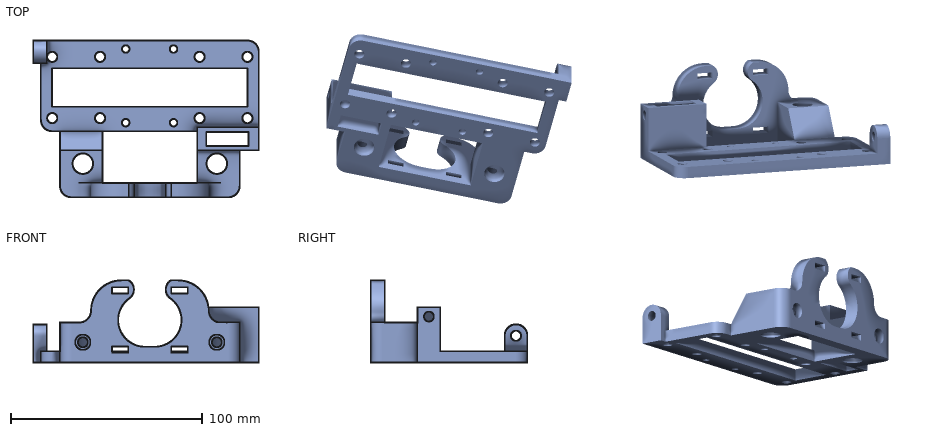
import cadquery as cq
import math


plate_length = 114.0
total_depth = 82.0
corner_radius = 6.0

plate_thickness = 6.0
plate_front = 34.5
plate_depth = total_depth - plate_front
window_margin = 6.0
window_length = plate_length - 2 * window_margin
window_depth = 20.0
window_center_y = 57.4

plate_hole_diameter = 5.2
plate_hole_columns = (6.0, 31.0, 83.0, 108.0)
plate_hole_row_spacing = 32.0
small_hole_diameter = 3.8
small_hole_spacing_x = 25.0
small_hole_spacing_y = 38.5
small_hole_center_x = 56.9

center_x = plate_length / 2
blocks_span = 94.0
block_width = 22.3
block_height = 21.0
block_top_depth = 24.5
rod_hole_diameter = 10.6
rod_hole_spacing = 70.0
rod_hole_y = 17.6

screw_z = 10.6
screw_diameter = 5.2
screw_head_diameter = 8.0
screw_head_depth = 4.0

wall_thickness = 7.5
cradle_span = 61.6
cradle_height = 43.0
cradle_root_radius = 6.0
cradle_outer_radius = cradle_height - block_height - cradle_root_radius
bore_radius = 13.9
bore_center_z = 22.2
bore_flat_width = 5.2
tip_gap = 16.5
tip_radius = 5.6

tie_slot_length = 8.4
tie_slot_height = 3.2
tie_slot_spacing = 31.0

box_left = center_x + blocks_span / 2 - block_width
box_front = block_top_depth
box_depth = 12.0
box_height = 29.0
pocket_left = 86.5
pocket_length = 22.0
pocket_width = 7.2
box_screw_diameter = 5.2
box_screw_z = 24.0

lug_overhang = 4.0
lug_width = 7.2
lug_depth = 12.0
lug_pivot_z = 14.0
lug_hole_diameter = 5.2


def box(x, y, z, length, depth, height):
    """Box whose lowest corner is (x, y, z)."""
    return cq.Workplane("XY").box(length, depth, height, centered=False).translate((x, y, z))


def vertical_holes(points, diameter, height):
    """Upright cylinders standing on the underside plane."""
    return cq.Workplane("XY").pushPoints(points).circle(diameter / 2).extrude(height)


def cylinder_along_y(x, z, diameter, depth):
    """Cylinder from the front face into the part, centered at (x, z)."""
    return cq.Workplane("XZ").center(x, z).circle(diameter / 2).extrude(-depth)


def cylinder_along_x(start_x, y, z, diameter, length):
    """Cylinder toward +X from start_x, centered at (y, z)."""
    return (
        cq.Workplane("YZ", origin=(start_x, 0, 0))
        .center(y, z)
        .circle(diameter / 2)
        .extrude(length)
    )


def base_plate():
    plate = box(0, plate_front, 0, plate_length, plate_depth, plate_thickness)
    plate = plate.edges("|Z and <X and <Y").fillet(corner_radius)
    plate = plate.edges("|Z and >X and >Y").fillet(corner_radius)
    window_y = window_center_y - window_depth / 2
    window = box(window_margin, window_y, 0, window_length, window_depth, plate_thickness)
    return plate.cut(window)


def plate_holes():
    large_points = [
        (x, window_center_y + side * plate_hole_row_spacing / 2)
        for x in plate_hole_columns
        for side in (-1, 1)
    ]
    plate_center_y = plate_front + plate_depth / 2
    small_points = [
        (
            small_hole_center_x + side_x * small_hole_spacing_x / 2,
            plate_center_y + side_y * small_hole_spacing_y / 2,
        )
        for side_x in (-1, 1)
        for side_y in (-1, 1)
    ]
    large = vertical_holes(large_points, plate_hole_diameter, plate_thickness)
    small = vertical_holes(small_points, small_hole_diameter, plate_thickness)
    return large.union(small)


def rod_blocks():
    """Two ramped blocks with rounded outer front corners."""
    left = center_x - blocks_span / 2
    side_profile = [
        (0, 0),
        (plate_front, 0),
        (plate_front, plate_thickness),
        (block_top_depth, block_height),
        (0, block_height),
    ]
    body = (
        cq.Workplane("YZ", origin=(left, 0, 0))
        .polyline(side_profile)
        .close()
        .extrude(blocks_span)
        .edges("|Z and <Y")
        .fillet(corner_radius)
    )
    gap_width = blocks_span - 2 * block_width
    opening = box(left + block_width, 0, 0, gap_width, plate_front, block_height)
    return body.cut(opening)


def cradle_half():
    """Left half of the front wall, from the underside up to the hooked tip."""
    outer_left = center_x - cradle_span / 2
    root_x = outer_left - cradle_root_radius
    root_z = block_height + cradle_root_radius
    arc_center_x = outer_left + cradle_outer_radius
    diagonal = math.sqrt(0.5)

    bore_x = center_x - bore_flat_width / 2
    tip_x = center_x - tip_gap / 2 - tip_radius
    centers_distance = bore_radius + tip_radius
    tip_z = bore_center_z + math.sqrt(centers_distance**2 - (bore_x - tip_x) ** 2)
    tip_top_x = tip_x + math.sqrt(tip_radius**2 - (cradle_height - tip_z) ** 2)
    touch_share = tip_radius / centers_distance
    touch_x = tip_x + (bore_x - tip_x) * touch_share
    touch_z = tip_z + (bore_center_z - tip_z) * touch_share

    return (
        cq.Workplane("XZ")
        .moveTo(root_x, 0)
        .lineTo(root_x, block_height)
        .threePointArc(
            (root_x + cradle_root_radius * diagonal, root_z - cradle_root_radius * diagonal),
            (outer_left, root_z),
        )
        .threePointArc(
            (
                arc_center_x - cradle_outer_radius * diagonal,
                root_z + cradle_outer_radius * diagonal,
            ),
            (arc_center_x, cradle_height),
        )
        .lineTo(tip_top_x, cradle_height)
        .threePointArc((tip_x + tip_radius, tip_z), (touch_x, touch_z))
        .threePointArc(
            (bore_x - bore_radius, bore_center_z),
            (bore_x, bore_center_z - bore_radius),
        )
        .lineTo(center_x, bore_center_z - bore_radius)
        .lineTo(center_x, 0)
        .close()
        .extrude(-wall_thickness)
    )


def front_wall():
    left = cradle_half()
    right = left.mirror("YZ", (center_x, 0, 0))
    return left.union(right)


def tie_slots():
    slots = cq.Workplane("XZ").center(center_x, bore_center_z)
    return (
        slots.rarray(tie_slot_spacing, tie_slot_spacing, 2, 2)
        .rect(tie_slot_length, tie_slot_height)
        .extrude(-wall_thickness)
    )


def rod_and_screw_holes():
    cutters = cq.Workplane("XY")
    for side in (-1, 1):
        x = center_x + side * rod_hole_spacing / 2
        rod = vertical_holes([(x, rod_hole_y)], rod_hole_diameter, block_height)
        screw = cylinder_along_y(x, screw_z, screw_diameter, rod_hole_y)
        head = cylinder_along_y(x, screw_z, screw_head_diameter, screw_head_depth)
        cutters = cutters.union(rod).union(screw).union(head)
    return cutters


def pocketed_box():
    return box(box_left, box_front, 0, plate_length - box_left, box_depth, box_height)


def pocket_and_screw_hole():
    """Pocket through the full height and a screw hole through its right wall."""
    center_y = box_front + box_depth / 2
    pocket_front = center_y - pocket_width / 2
    pocket = box(pocket_left, pocket_front, 0, pocket_length, pocket_width, box_height)
    pocket_center_x = pocket_left + pocket_length / 2
    screw_length = plate_length - pocket_center_x
    screw = cylinder_along_x(
        pocket_center_x, center_y, box_screw_z, box_screw_diameter, screw_length
    )
    return pocket.union(screw)


def hinge_lug():
    """Upright lug with a fully rounded top."""
    center_y = total_depth - lug_depth / 2
    post = box(-lug_overhang, total_depth - lug_depth, 0, lug_width, lug_depth, lug_pivot_z)
    return post.union(cylinder_along_x(-lug_overhang, center_y, lug_pivot_z, lug_depth, lug_width))


def lug_pivot_hole():
    center_y = total_depth - lug_depth / 2
    return cylinder_along_x(-lug_overhang, center_y, lug_pivot_z, lug_hole_diameter, lug_width)


result = base_plate().cut(plate_holes())
for piece in (rod_blocks(), front_wall(), pocketed_box(), hinge_lug()):
    result = result.union(piece)
for cutter in (tie_slots(), rod_and_screw_holes(), pocket_and_screw_hole(), lug_pivot_hole()):
    result = result.cut(cutter)